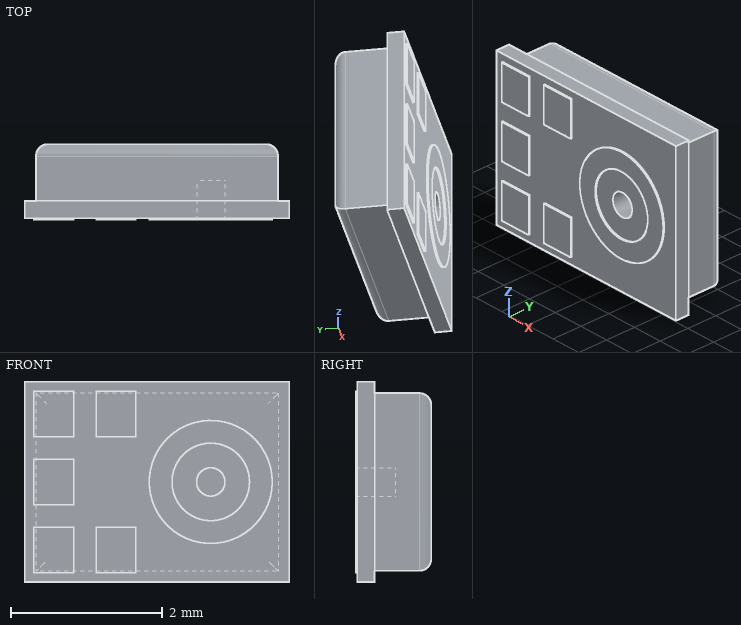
import cadquery as cq


BOARD_LENGTH = 3.5
BOARD_HEIGHT = 2.65
BOARD_THICKNESS = 0.23

TOTAL_DEPTH = 1.0
PAD_THICKNESS = 0.02
LID_MARGIN = 0.15
LID_LENGTH = BOARD_LENGTH - 2 * LID_MARGIN
LID_HEIGHT = BOARD_HEIGHT - 2 * LID_MARGIN
LID_DEPTH = TOTAL_DEPTH - PAD_THICKNESS - BOARD_THICKNESS
LID_FILLET = 0.16

PAD_LENGTH = 0.525
PAD_HEIGHT = 0.6
PAD_EDGE_GAP = 0.125
PAD_COLUMN_PITCH = 0.82
OUTER_COLUMN_X = -BOARD_LENGTH / 2 + PAD_EDGE_GAP + PAD_LENGTH / 2
INNER_COLUMN_X = OUTER_COLUMN_X + PAD_COLUMN_PITCH
TOP_ROW_Z = BOARD_HEIGHT / 2 - PAD_EDGE_GAP - PAD_HEIGHT / 2
PAD_CENTERS = [
    (OUTER_COLUMN_X, TOP_ROW_Z),
    (OUTER_COLUMN_X, 0),
    (OUTER_COLUMN_X, -TOP_ROW_Z),
    (INNER_COLUMN_X, TOP_ROW_Z),
    (INNER_COLUMN_X, -TOP_ROW_Z),
]

PORT_X = 0.71
PORT_DIAMETER = 0.375
PORT_DEPTH = 0.5
RING_OUTER_DIAMETER = 1.625
RING_INNER_DIAMETER = 1.025


def pad_face():
    """Workplane on the pad side of the board, with its normal toward -Y."""
    return cq.Workplane("XZ")


def make_board():
    return pad_face().rect(BOARD_LENGTH, BOARD_HEIGHT).extrude(-BOARD_THICKNESS)


def make_lid():
    lid = (
        pad_face()
        .workplane(offset=-BOARD_THICKNESS)
        .rect(LID_LENGTH, LID_HEIGHT)
        .extrude(-LID_DEPTH)
    )
    return lid.faces(">Y").edges().fillet(LID_FILLET)


def make_pads():
    return pad_face().pushPoints(PAD_CENTERS).rect(PAD_LENGTH, PAD_HEIGHT).extrude(PAD_THICKNESS)


def make_ring_pad():
    return (
        pad_face()
        .center(PORT_X, 0)
        .circle(RING_OUTER_DIAMETER / 2)
        .circle(RING_INNER_DIAMETER / 2)
        .extrude(PAD_THICKNESS)
    )


def make_port():
    """Sound port through the board, ending blind inside the lid."""
    return pad_face().center(PORT_X, 0).circle(PORT_DIAMETER / 2).extrude(-PORT_DEPTH)


result = make_board().union(make_lid()).union(make_pads()).union(make_ring_pad()).cut(make_port())